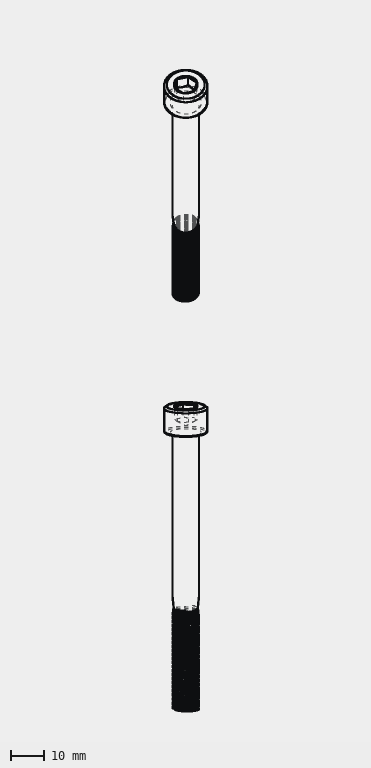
import cadquery as cq
import math

total_length = 93.0
head_diameter = 13.0
shank_diameter = 8.0
head_height = shank_diameter
head_radius = head_diameter / 2
shank_radius = shank_diameter / 2
head_base = total_length - head_height

top_chamfer_width = 0.8
top_chamfer_height = 0.65
bottom_chamfer = 0.4

flare_width = 0.65
flare_height = 1.1
flare_sag = 0.1

neck_top = 34.4
neck_bottom = 30.9
neck_radius = 3.6
core_bottom = 29.3
core_bottom_radius = 3.1

pitch = shank_diameter * 1.25 / 8
thread_half_angle = 30
crest_width = pitch / 8
root_width = pitch / 4
thread_depth = (pitch - crest_width - root_width) / 2 / math.tan(math.radians(thread_half_angle))
root_radius = shank_radius - thread_depth
crest_phase = 0.3 * pitch
thread_top = 31.25
crest_fade_start = 28.8
crest_fade_radius = neck_radius
crest_clearance = 0.02
flank_points = 12

socket_flats = shank_diameter * 6 / 8
socket_rotation = 30
socket_corner_radius = socket_flats / math.sqrt(3)
socket_depth = head_height / 2
socket_mouth_radius = 3.5
socket_point_half_angle = 60
socket_countersink_half_angle = 60


def make_blank():
    """Turned blank: head, flare, shank, neck and the core cone inside the thread."""
    flare_bottom = head_base - flare_height
    flare_radius = shank_radius + flare_width
    flare_middle = (
        shank_radius + flare_width / 2 - flare_sag,
        head_base - flare_height / 2 + flare_sag,
    )
    return (
        cq.Workplane("XZ")
        .moveTo(0, core_bottom)
        .lineTo(core_bottom_radius, core_bottom)
        .lineTo(neck_radius, neck_bottom)
        .lineTo(shank_radius, neck_top)
        .lineTo(shank_radius, flare_bottom)
        .threePointArc(flare_middle, (flare_radius, head_base))
        .lineTo(head_radius - bottom_chamfer, head_base)
        .lineTo(head_radius, head_base + bottom_chamfer)
        .lineTo(head_radius, total_length - top_chamfer_height)
        .lineTo(head_radius - top_chamfer_width, total_length)
        .lineTo(0, total_length)
        .close()
        .revolve(360, (0, 0, 0), (0, 1, 0))
    )


def polar_point(radius, angle):
    """X and Y of a point given by radius and angle about the axis."""
    return (radius * math.cos(angle), radius * math.sin(angle))


def spiral_points(start, end):
    """Points along a spiral between two (radius, angle) pairs, leaving out the start."""
    points = []
    for step in range(1, flank_points + 1):
        fraction = step / flank_points
        radius = start[0] + (end[0] - start[0]) * fraction
        angle = start[1] + (end[1] - start[1]) * fraction
        points.append(polar_point(radius, angle))
    return points


def make_thread_rod(bottom, top):
    """Length of full thread: a cam-shaped cross-section twisted one turn per pitch."""
    crest_half_angle = math.pi * crest_width / pitch
    root_angle = math.pi * (1 - root_width / pitch)
    height = top - bottom
    return (
        cq.Workplane("XY")
        .moveTo(*polar_point(shank_radius, -crest_half_angle))
        .threePointArc((shank_radius, 0), polar_point(shank_radius, crest_half_angle))
        .spline(
            spiral_points((shank_radius, crest_half_angle), (root_radius, root_angle)),
            includeCurrent=True,
        )
        .threePointArc((-root_radius, 0), polar_point(root_radius, -root_angle))
        .spline(
            spiral_points((root_radius, -root_angle), (shank_radius, -crest_half_angle)),
            includeCurrent=True,
        )
        .close()
        .twistExtrude(height, 360 * height / pitch)
        .rotate((0, 0, 0), (0, 0, 1), 360 * (bottom - crest_phase) / pitch)
        .translate((0, 0, bottom))
    )


def make_thread_fade():
    """Top turns of the thread, with crests that taper down into the neck."""
    fade_cone = (
        cq.Workplane("XZ")
        .moveTo(0, crest_fade_start)
        .lineTo(shank_radius + crest_clearance, crest_fade_start)
        .lineTo(crest_fade_radius, thread_top)
        .lineTo(0, thread_top)
        .close()
        .revolve(360, (0, 0, 0), (0, 1, 0))
    )
    return make_thread_rod(crest_fade_start, thread_top).intersect(fade_cone)


def make_socket():
    """Hexagon socket with a drilled cone at its floor and a countersunk mouth."""
    point_height = socket_corner_radius / math.tan(math.radians(socket_point_half_angle))
    socket_bottom = total_length - socket_depth - point_height
    hexagon = (
        cq.Workplane("XY")
        .workplane(offset=socket_bottom)
        .polygon(6, 2 * socket_corner_radius)
        .extrude(total_length - socket_bottom)
        .rotate((0, 0, 0), (0, 0, 1), socket_rotation)
    )
    drill = (
        cq.Workplane("XZ")
        .moveTo(0, socket_bottom)
        .lineTo(socket_corner_radius, total_length - socket_depth)
        .lineTo(socket_corner_radius, total_length)
        .lineTo(0, total_length)
        .close()
        .revolve(360, (0, 0, 0), (0, 1, 0))
    )
    countersink_depth = socket_mouth_radius / math.tan(math.radians(socket_countersink_half_angle))
    countersink = (
        cq.Workplane("XZ")
        .moveTo(0, total_length - countersink_depth)
        .lineTo(socket_mouth_radius, total_length)
        .lineTo(0, total_length)
        .close()
        .revolve(360, (0, 0, 0), (0, 1, 0))
    )
    return hexagon.intersect(drill).union(countersink)


upper_body = make_blank().cut(make_socket()).union(make_thread_fade())
result = upper_body.union(make_thread_rod(0, crest_fade_start))